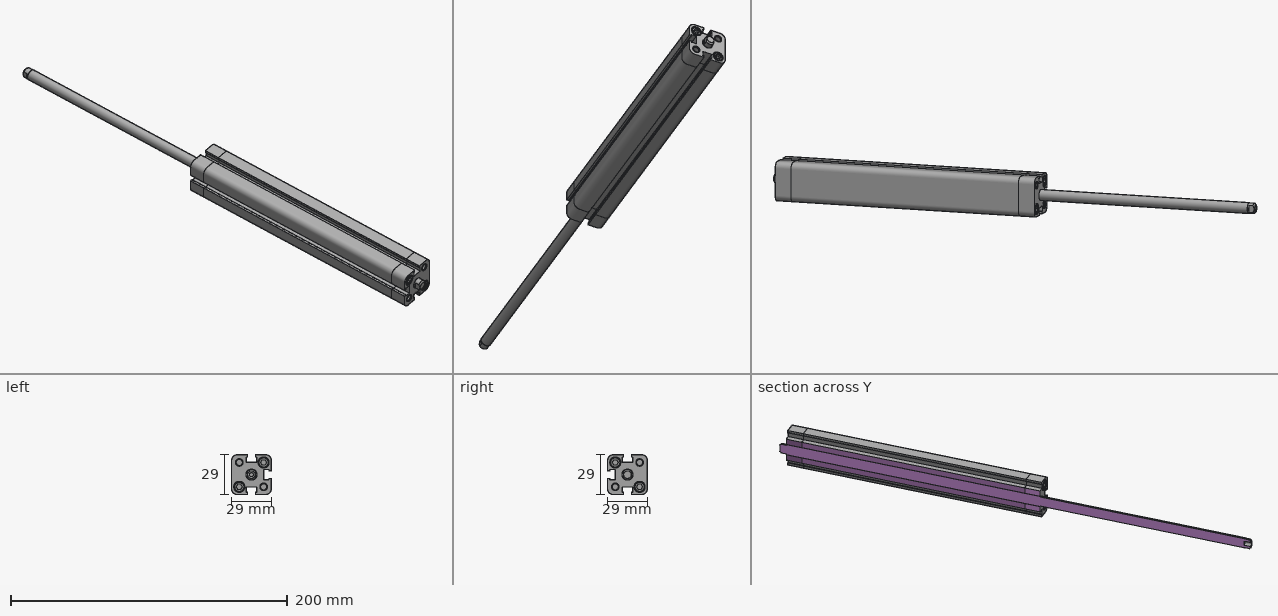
import cadquery as cq

TOTAL_LENGTH = 367.0
BODY_SIZE = 29.0
BODY_START = 164.0
BODY_LENGTH = 197.8
CAP_LENGTH = 12.0
CORNER_RADIUS = 4.5

SLOT_OPENING = 5.5
SLOT_WIDTH = 7.5
SLOT_DEPTH = 5.5
SLOT_LIP = 2.0
SLOT_ANGLES = (0, 90, 180)

ROD_DIAMETER = 8.0
TIP_DIAMETER = 7.7
TIP_LENGTH = 5.0
TIP_CHAMFER = 1.0
FLAT_WIDTH = 6.0
FLAT_LENGTH = 4.0
ROD_HOLE_DIAMETER = 3.0
ROD_HOLE_DEPTH = 5.0

HOLE_OFFSET = 8.8
HEAD_RECESS_DIAMETER = 8.0
HEAD_DIAMETER = 6.5
HEAD_RECESS_DEPTH = 1.0
SOCKET_CORNERS = 4.5
SOCKET_DEPTH = 2.0
TAPPED_MOUTH_DIAMETER = 5.5
TAPPED_MOUTH_DEPTH = 0.7
TAPPED_HOLE_DIAMETER = 4.5

BODY_END = BODY_START + BODY_LENGTH
HALF = BODY_SIZE / 2


def yz_plane(x):
    """Work plane facing +X at the given station, local axes Y and Z."""
    return cq.Workplane("YZ", origin=(x, 0, 0))


def slot_cutter(start, length, angle):
    """T-shaped slot on the +Z side, turned about the X axis by angle."""
    mouth = yz_plane(start).center(0, HALF - SLOT_LIP / 2).rect(SLOT_OPENING, SLOT_LIP).extrude(length)
    head_height = SLOT_DEPTH - SLOT_LIP
    head_center = HALF - SLOT_LIP - head_height / 2
    head = yz_plane(start).center(0, head_center).rect(SLOT_WIDTH, head_height).extrude(length)
    return mouth.union(head).rotate((0, 0, 0), (1, 0, 0), angle)


def slotted_block(start, length):
    """Rounded square block along X with T-slots on three sides and a bore for the rod."""
    block = yz_plane(start).rect(BODY_SIZE, BODY_SIZE).extrude(length)
    block = block.edges("|X").fillet(CORNER_RADIUS)
    for angle in SLOT_ANGLES:
        block = block.cut(slot_cutter(start, length, angle))
    return block.cut(yz_plane(start).circle(ROD_DIAMETER / 2).extrude(length))


def make_barrel():
    return slotted_block(BODY_START + CAP_LENGTH, BODY_LENGTH - 2 * CAP_LENGTH)


def make_cap(start, outer_face, inward):
    """Cap starting at station start; inward is the X direction from its outer face into it."""
    cap = slotted_block(start, CAP_LENGTH)
    face = yz_plane(outer_face)
    head_points = [(-HOLE_OFFSET, HOLE_OFFSET), (HOLE_OFFSET, -HOLE_OFFSET)]
    tapped_points = [(HOLE_OFFSET, HOLE_OFFSET), (-HOLE_OFFSET, -HOLE_OFFSET)]

    gap = face.pushPoints(head_points).circle(HEAD_RECESS_DIAMETER / 2).circle(HEAD_DIAMETER / 2)
    cap = cap.cut(gap.extrude(inward * HEAD_RECESS_DEPTH))
    socket = face.pushPoints(head_points).polygon(6, SOCKET_CORNERS)
    cap = cap.cut(socket.extrude(inward * SOCKET_DEPTH))

    mouth = face.pushPoints(tapped_points).circle(TAPPED_MOUTH_DIAMETER / 2)
    cap = cap.cut(mouth.extrude(inward * TAPPED_MOUTH_DEPTH))
    bore = face.pushPoints(tapped_points).circle(TAPPED_HOLE_DIAMETER / 2)
    return cap.cut(bore.extrude(inward * CAP_LENGTH))


def make_tip(start, outer_selector, flat_start):
    """Chamfered rod tip with a flat on its +Y and -Y sides."""
    tip = yz_plane(start).circle(TIP_DIAMETER / 2).extrude(TIP_LENGTH)
    tip = tip.faces(outer_selector).chamfer(TIP_CHAMFER)
    for side in (-1, 1):
        offset = side * (FLAT_WIDTH + TIP_DIAMETER) / 2
        waste = yz_plane(flat_start).center(offset, 0).rect(TIP_DIAMETER, ROD_DIAMETER)
        tip = tip.cut(waste.extrude(FLAT_LENGTH))
    return tip


def make_rod():
    shank = yz_plane(TIP_LENGTH).circle(ROD_DIAMETER / 2).extrude(TOTAL_LENGTH - 2 * TIP_LENGTH)
    near_tip = make_tip(0, "<X", 0)
    far_tip = make_tip(TOTAL_LENGTH - TIP_LENGTH, ">X", TOTAL_LENGTH - FLAT_LENGTH)
    end_hole = yz_plane(0).circle(ROD_HOLE_DIAMETER / 2).extrude(ROD_HOLE_DEPTH)
    return shank.union(near_tip).union(far_tip).cut(end_hole)


front_cap = make_cap(BODY_START, BODY_START, 1)
rear_cap = make_cap(BODY_END - CAP_LENGTH, BODY_END, -1)
barrel = make_barrel()
rod = make_rod()

result = cq.Compound.makeCompound([front_cap.val(), barrel.val(), rear_cap.val(), rod.val()])